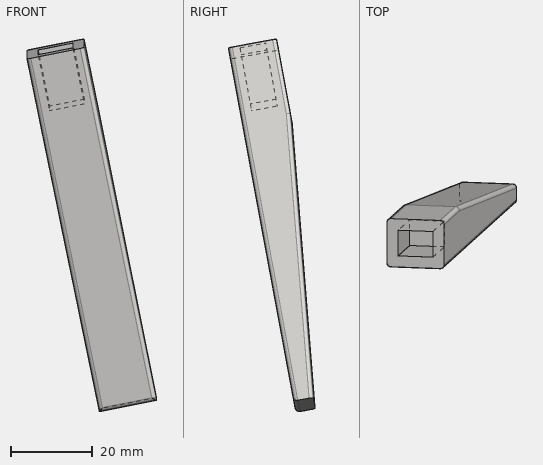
import cadquery as cq

length = 89.9
width = 14.3
depth = 12.1
tip_depth = 4.8
straight_length = 18.9
edge_radius = 1.0

wall = 2.8
socket_depth = 14.25

tilt_about_y = -11.4
tilt_about_x = 10.5


def tapered_bar():
    """Bar with a flat front and a back that slopes in below the straight part."""
    front = -depth / 2
    back = depth / 2
    side_profile = [
        (front, 0),
        (back, 0),
        (back, -straight_length),
        (front + tip_depth, -length),
        (front, -length),
    ]
    bar = cq.Workplane("YZ").polyline(side_profile).close().extrude(width / 2, both=True)
    front_edges = bar.faces("<Y").edges("not >Z")
    back_edges = bar.edges("(>X or <X) and (not >Z) and (not <Z)").edges("not <Y")
    return bar.newObject(front_edges.vals() + back_edges.vals()).fillet(edge_radius)


def socket():
    return (
        cq.Workplane("XY")
        .rect(width - 2 * wall, depth - 2 * wall)
        .extrude(-socket_depth)
    )


upright = tapered_bar().cut(socket())
result = (
    upright
    .rotate((0, 0, 0), (0, 1, 0), tilt_about_y)
    .rotate((0, 0, 0), (1, 0, 0), tilt_about_x)
)